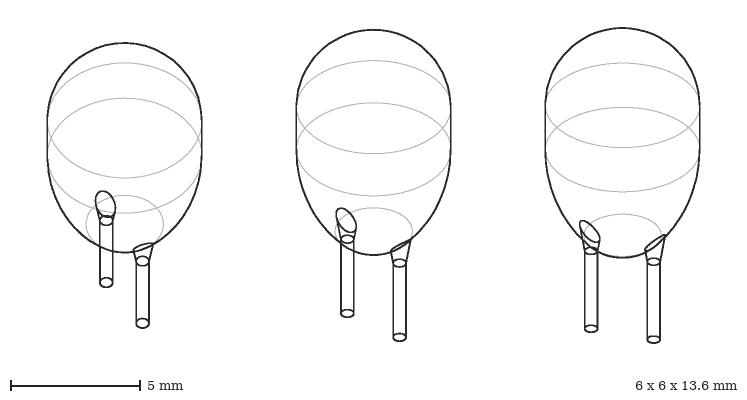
import cadquery as cq
import math

total_height = 13.6
body_diameter = 6.0
barrel_bottom_z = 8.55
flank_radius = 6.0
nose_radius = 2.0
lead_diameter = 0.5
lead_pitch = 2.55
lead_length = 3.6
collar_top_diameter = 0.92
collar_top_z = 4.92

body_radius = body_diameter / 2
dome_center_z = total_height - body_radius
flank_center_x = body_radius - flank_radius
center_distance = flank_radius - nose_radius
tangent_angle = math.acos(-flank_center_x / center_distance)
nose_center_z = barrel_bottom_z - center_distance * math.sin(tangent_angle)


def arc_point(center_x, center_z, radius, angle):
    """Point on an arc, with the angle measured downward from +X."""
    return (center_x + radius * math.cos(angle), center_z - radius * math.sin(angle))


def make_body():
    """Solid of revolution: dome, straight band, tapering flank and nose."""
    dome_middle = arc_point(0, dome_center_z, body_radius, -math.pi / 4)
    flank_middle = arc_point(flank_center_x, barrel_bottom_z, flank_radius, tangent_angle / 2)
    flank_end = arc_point(0, nose_center_z, nose_radius, tangent_angle)
    nose_middle_angle = (tangent_angle + math.pi / 2) / 2
    nose_middle = arc_point(0, nose_center_z, nose_radius, nose_middle_angle)
    return (
        cq.Workplane("XZ")
        .moveTo(0, total_height)
        .threePointArc(dome_middle, (body_radius, dome_center_z))
        .lineTo(body_radius, barrel_bottom_z)
        .threePointArc(flank_middle, flank_end)
        .threePointArc(nose_middle, (0, nose_center_z - nose_radius))
        .close()
        .revolve(360, (0, 0), (0, 1))
    )


def make_collar(x, body):
    """Cone that widens from the lead up to the body and ends on its surface."""
    cone = cq.Solid.makeCone(
        lead_diameter / 2,
        collar_top_diameter / 2,
        collar_top_z - lead_length,
        pnt=cq.Vector(x, 0, lead_length),
    )
    return cq.Workplane(cone).cut(body).solids()


def make_lead(x):
    """Round wire that ends at the narrow end of its collar."""
    return cq.Workplane("XY").center(x, 0).circle(lead_diameter / 2).extrude(lead_length)


body = make_body()
collars = []
leads = []
for lead_x in (-lead_pitch / 2, lead_pitch / 2):
    collars.append(make_collar(lead_x, body))
    leads.append(make_lead(lead_x))

result = cq.Compound.makeCompound(
    [
        body.val(),
        *[collar.val() for collar in collars],
        *[lead.val() for lead in leads],
    ]
)